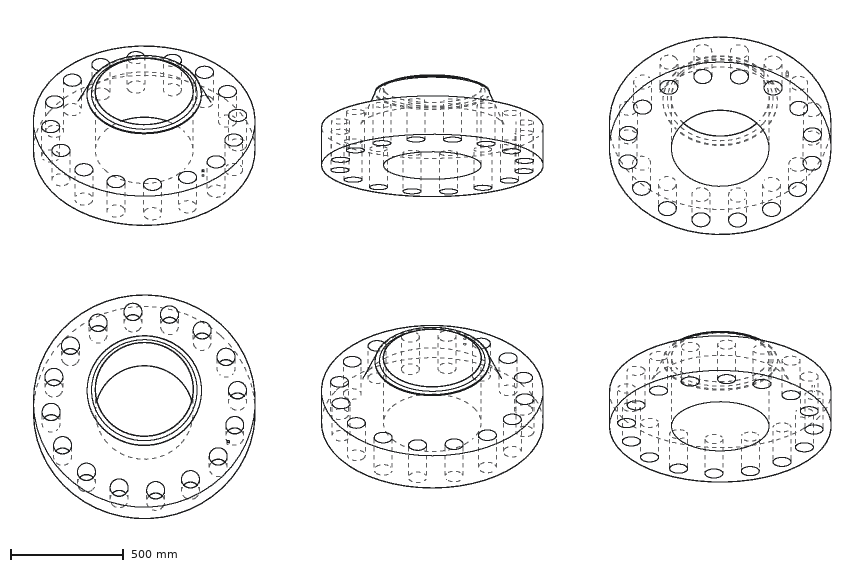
import cadquery as cq
import math

flange_diameter = 984.0
flange_thickness = 177.0
flange_radius = flange_diameter / 2

total_height = 355.0
bore_radius = 216.0
hub_base_radius = 321.0
hub_top_radius = 254.0
hub_taper_top = 334.0
hub_foot_fillet = 3.0

weld_land_width = 1.6
steep_bevel_radius = 234.0
steep_bevel_angle = 37.5
shallow_bevel_angle = 10.0

bolt_count = 16
bolt_circle_radius = 416.0
bolt_hole_diameter = 80.0
bolt_pitch_angle = 360 / bolt_count

small_hole_diameter = 11.0
small_hole_depth = 30.0


def bevel_drop(inner_radius, outer_radius, angle):
    """Height lost across a conical bevel between two radii."""
    return (outer_radius - inner_radius) * math.tan(math.radians(angle))


def revolved_body():
    """Disc, tapered hub and beveled weld end turned as one half section."""
    land_radius = bore_radius + weld_land_width
    steep_bevel_bottom = total_height - bevel_drop(land_radius, steep_bevel_radius, steep_bevel_angle)
    shallow_bevel_bottom = steep_bevel_bottom - bevel_drop(
        steep_bevel_radius, hub_top_radius, shallow_bevel_angle
    )
    section = [
        (bore_radius, 0),
        (flange_radius, 0),
        (flange_radius, flange_thickness),
        (hub_base_radius, flange_thickness),
        (hub_top_radius, hub_taper_top),
        (hub_top_radius, shallow_bevel_bottom),
        (steep_bevel_radius, steep_bevel_bottom),
        (land_radius, total_height),
        (bore_radius, total_height),
    ]
    axis_start = (0, 0)
    axis_end = (0, 1)
    return cq.Workplane("XZ").polyline(section).close().revolve(360, axis_start, axis_end)


def round_hub_foot(body):
    """Fillet the corner where the hub taper meets the disc face."""
    foot_edge = cq.selectors.RadiusNthSelector(-2)
    return body.edges("%CIRCLE").edges(foot_edge).fillet(hub_foot_fillet)


def bolt_holes():
    """Cylinders through the disc, one for each bolt."""
    return (
        cq.Workplane("XY")
        .polarArray(bolt_circle_radius, 0, 360, bolt_count)
        .circle(bolt_hole_diameter / 2)
        .extrude(flange_thickness)
    )


def small_hole():
    """Blind hole in the upper disc face, half a bolt pitch from the X axis."""
    angle = math.radians(bolt_pitch_angle / 2)
    center_x = bolt_circle_radius * math.cos(angle)
    center_y = bolt_circle_radius * math.sin(angle)
    return (
        cq.Workplane("XY", origin=(center_x, center_y, flange_thickness))
        .circle(small_hole_diameter / 2)
        .extrude(-small_hole_depth)
    )


result = round_hub_foot(revolved_body()).cut(bolt_holes()).cut(small_hole())